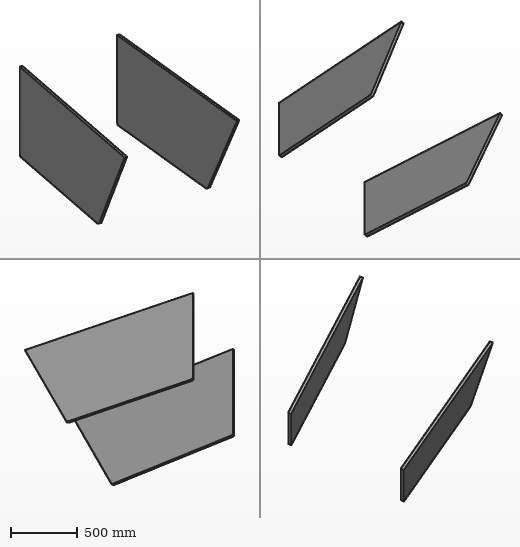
import cadquery as cq
import math

TOP_HEIGHT = 960.0
PANEL_LENGTH = 1314.0
LEFT_EDGE_HEIGHT = 733.0
TOP_EDGE_DROP = 307.0
BOTTOM_LENGTH = 988.0
THICKNESS = 25.0
CORNER_RADIUS = 20.0

OVERALL_WIDTH = 1423.0
OVERALL_DEPTH = 1207.0
FRONT_YAW = 3.4
REAR_YAW = 9.9

front_angle = math.radians(FRONT_YAW)
rear_angle = math.radians(REAR_YAW)

front_pivot = (OVERALL_WIDTH - PANEL_LENGTH * math.cos(front_angle), 0)

rear_pivot = (
    THICKNESS * math.sin(rear_angle),
    OVERALL_DEPTH - PANEL_LENGTH * math.sin(rear_angle) - THICKNESS * math.cos(rear_angle),
)


def make_panel(pivot, yaw):
    """Upright panel with parallel sloping top and bottom edges, turned about Z."""
    edge_slope = TOP_EDGE_DROP / PANEL_LENGTH
    lower_left_height = TOP_HEIGHT - LEFT_EDGE_HEIGHT
    lower_right_height = lower_left_height - edge_slope * BOTTOM_LENGTH
    outline = [
        (0, TOP_HEIGHT),
        (0, lower_left_height),
        (BOTTOM_LENGTH, lower_right_height),
        (PANEL_LENGTH, TOP_HEIGHT - TOP_EDGE_DROP),
    ]
    slab = cq.Workplane("XZ").polyline(outline).close().extrude(-THICKNESS)

    middle_height = (lower_left_height + TOP_HEIGHT - TOP_EDGE_DROP) / 2
    lower_corners = slab.edges("|Y").filter(lambda edge: edge.Center().z < middle_height)
    rounded = slab.newObject(lower_corners.vals()).fillet(CORNER_RADIUS)

    pivot_x, pivot_y = pivot
    return rounded.rotate((0, 0, 0), (0, 0, 1), yaw).translate((pivot_x, pivot_y, 0))


front_panel = make_panel(front_pivot, FRONT_YAW)
rear_panel = make_panel(rear_pivot, REAR_YAW)

result = cq.Compound.makeCompound([front_panel.val(), rear_panel.val()])